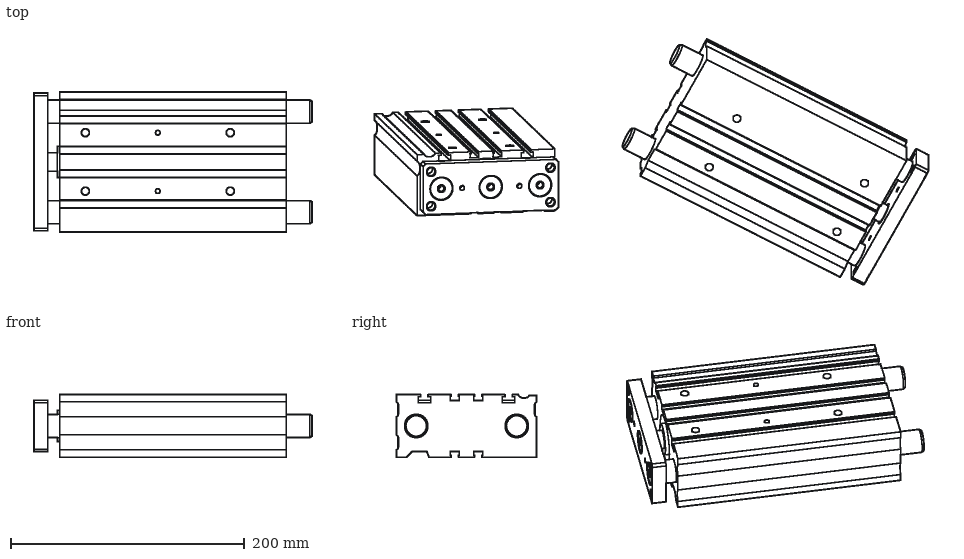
import cadquery as cq
import math


total_length = 238.0
plate_thickness = 12.0
plate_gap = 10.0
housing_start = plate_thickness + plate_gap
housing_length = 194.0
housing_end = housing_start + housing_length

housing_width = 120.0
housing_height = 54.0
half_width = housing_width / 2
half_height = housing_height / 2

plate_width = 118.0
plate_height = 44.0
plate_corner_chamfer = 2.2
corner_hole_y = 52.0
corner_hole_z = 15.0
corner_hole_diameter = 6.8
corner_hole_sink_diameter = 8.0
plate_pin_y = 25.0
plate_pin_diameter = 4.0

guide_y = 43.0
guide_diameter = 20.0
guide_end_chamfer_length = 2.0
guide_end_chamfer_depth = 1.2
piston_diameter = 16.0
piston_end_wall = 12.0
piston_end = housing_end - piston_end_wall
rod_seat_diameter = 19.0
rod_seat_sink_diameter = 20.0
rod_recess = (rod_seat_sink_diameter - rod_seat_diameter) / 2
socket_diameter = 5.0
socket_sink_diameter = 6.6
socket_depth = 15.0
drill_tip_angle = 118.0

collar_diameter = 27.0
collar_protrusion = 2.0
collar_start = housing_start - collar_protrusion
recess_diameter = 42.0
recess_depth = 6.5
recess_floor = housing_start + recess_depth

mount_hole_diameter = 6.6
mount_hole_first = 22.0
mount_hole_pitch = 124.0
mount_hole_y = 25.0
dowel_diameter = 4.0
dowel_depth = 6.0

t_slot_y = 36.0
t_slot_opening = 6.0
t_slot_width = 10.4
t_slot_lip = 2.2
t_slot_depth = 7.3
t_slot_chamfer = 0.5

sensor_slot_y = 10.0
sensor_slot_opening = 5.9
sensor_slot_width = 7.4
sensor_slot_lip = 1.8
sensor_slot_depth = 5.3
sensor_slot_chamfer = 0.5

side_groove_z = 14.1
side_groove_half_opening = 6.4
side_groove_half_floor = 1.8
side_groove_chamfer = 1.3
side_groove_depth = 2.2
top_groove_inner_edge_y = 44.1
top_groove_outer_edge_y = 53.6
top_groove_floor_y = 49.1
top_groove_floor_width = 0.8
top_groove_chamfer_width = 0.9
top_groove_chamfer_depth = 1.4
top_groove_depth = 2.2
top_strip_drop = 0.8

channel_inner_y = 32.1
channel_outer_y = 51.4
channel_depth = 5.5
channel_inner_run = 2.2
channel_outer_run = 5.5


def cylinder_x(start, end, diameter, y=0.0):
    """Cylinder along X between two X positions, with its axis at Z = 0."""
    return cq.Workplane("YZ", origin=(start, y, 0)).circle(diameter / 2).extrude(end - start)


def sunk_hole(diameter, sink_diameter, depth, y, z=0.0, tip_depth=0.0):
    """Cutter for a countersunk hole from X = 0, with an optional conical tip."""
    radius = diameter / 2
    sink_radius = sink_diameter / 2
    sink_depth = sink_radius - radius
    return (
        cq.Workplane("XY")
        .moveTo(0, 0)
        .lineTo(0, sink_radius)
        .lineTo(sink_depth, radius)
        .lineTo(depth, radius)
        .lineTo(depth + tip_depth, 0)
        .close()
        .revolve(360, (0, 0, 0), (1, 0, 0))
        .translate((0, y, z))
    )


def undercut_slot(y, opening, width, lip, depth, chamfer):
    """Slot cutter in the top face: narrow chamfered mouth above a wider channel."""
    mouth = opening / 2
    wide = width / 2
    right_side = [
        (mouth + chamfer, half_height),
        (mouth, half_height - chamfer),
        (mouth, half_height - lip),
        (wide, half_height - lip),
        (wide, half_height - depth),
    ]
    left_side = [(-across, z) for across, z in reversed(right_side)]
    outline = right_side + left_side
    slot = cq.Workplane("YZ", origin=(housing_start, y, 0)).polyline(outline).close()
    return slot.extrude(housing_length)


def tangent_arc_middle(run, rise):
    """Middle point of an arc that starts level at (0, 0) and ends at (run, rise)."""
    radius = (run**2 + rise**2) / (2 * rise)
    half_angle = math.asin(run / radius) / 2
    return radius * math.sin(half_angle), radius * (1 - math.cos(half_angle))


def make_side_groove():
    """Cutter for a groove in a face at Z = 0, centred on Y = 0: chamfers, arcs and a flat floor."""
    shoulder = side_groove_half_opening - side_groove_chamfer
    floor = side_groove_half_floor
    depth = side_groove_depth
    arc_run, arc_rise = tangent_arc_middle(shoulder - floor, depth - side_groove_chamfer)
    return (
        cq.Workplane("YZ", origin=(housing_start, 0, 0))
        .moveTo(-side_groove_half_opening, 0)
        .lineTo(-shoulder, -side_groove_chamfer)
        .threePointArc((-floor - arc_run, arc_rise - depth), (-floor, -depth))
        .lineTo(floor, -depth)
        .threePointArc((floor + arc_run, arc_rise - depth), (shoulder, -side_groove_chamfer))
        .lineTo(side_groove_half_opening, 0)
        .close()
        .extrude(housing_length)
    )


def make_top_groove():
    """Cutter for the top groove and the lowered strip that runs from it to the +Y edge."""
    strip_z = half_height - top_strip_drop
    floor_z = strip_z - top_groove_depth
    inner_floor_y = top_groove_floor_y - top_groove_floor_width / 2
    outer_floor_y = top_groove_floor_y + top_groove_floor_width / 2
    shoulder_y = top_groove_outer_edge_y - top_groove_chamfer_width
    shoulder_z = strip_z - top_groove_chamfer_depth
    inner_width = inner_floor_y - top_groove_inner_edge_y
    inner_run, inner_rise = tangent_arc_middle(inner_width, half_height - floor_z)
    outer_run, outer_rise = tangent_arc_middle(shoulder_y - outer_floor_y, shoulder_z - floor_z)
    return (
        cq.Workplane("YZ", origin=(housing_start, 0, 0))
        .moveTo(top_groove_inner_edge_y, half_height)
        .threePointArc((inner_floor_y - inner_run, floor_z + inner_rise), (inner_floor_y, floor_z))
        .lineTo(outer_floor_y, floor_z)
        .threePointArc((outer_floor_y + outer_run, floor_z + outer_rise), (shoulder_y, shoulder_z))
        .lineTo(top_groove_outer_edge_y, strip_z)
        .lineTo(half_width, strip_z)
        .lineTo(half_width, half_height)
        .close()
        .extrude(housing_length)
    )


def make_housing():
    body = cq.Workplane("XY").box(housing_length, housing_width, housing_height)
    body = body.translate((housing_start + housing_length / 2, 0, 0))

    for side in (-1, 1):
        body = body.cut(
            undercut_slot(
                side * t_slot_y, t_slot_opening, t_slot_width, t_slot_lip, t_slot_depth, t_slot_chamfer
            )
        )
        sensor_slot = undercut_slot(
            side * sensor_slot_y,
            sensor_slot_opening,
            sensor_slot_width,
            sensor_slot_lip,
            sensor_slot_depth,
            sensor_slot_chamfer,
        )
        body = body.cut(sensor_slot).cut(sensor_slot.mirror("XY"))

    body = body.cut(make_top_groove())

    side_groove = make_side_groove()
    for side, z in ((-1, side_groove_z), (-1, -side_groove_z), (1, side_groove_z)):
        turned = side_groove.rotate((0, 0, 0), (1, 0, 0), -90 * side)
        body = body.cut(turned.translate((0, side * half_width, z)))

    channel_floor = channel_depth - half_height
    channel = (
        cq.Workplane("YZ", origin=(housing_start, 0, 0))
        .moveTo(-channel_inner_y, -half_height)
        .lineTo(-channel_inner_y - channel_inner_run, channel_floor)
        .lineTo(-channel_outer_y + channel_outer_run, channel_floor)
        .lineTo(-channel_outer_y, -half_height)
        .close()
        .extrude(housing_length)
    )
    body = body.cut(channel)

    first_x = housing_start + mount_hole_first
    mount_points = [
        (x, y) for x in (first_x, first_x + mount_hole_pitch) for y in (-mount_hole_y, mount_hole_y)
    ]
    dowel_x = first_x + mount_hole_pitch / 2
    dowel_points = [(dowel_x, -mount_hole_y), (dowel_x, mount_hole_y)]
    top_plane = cq.Workplane("XY", origin=(0, 0, half_height))
    mount_holes = top_plane.pushPoints(mount_points).circle(mount_hole_diameter / 2).extrude(-housing_height)
    dowel_holes = top_plane.pushPoints(dowel_points).circle(dowel_diameter / 2).extrude(-dowel_depth)
    body = body.cut(mount_holes).cut(dowel_holes)

    body = body.cut(cylinder_x(housing_start, recess_floor, recess_diameter))
    for side in (-1, 1):
        body = body.cut(cylinder_x(housing_start, housing_end, guide_diameter, side * guide_y))
    return body.cut(cylinder_x(housing_start, piston_end, piston_diameter))


def make_plate():
    plate = cq.Workplane("YZ").rect(plate_width, plate_height).extrude(plate_thickness)
    plate = plate.edges("|X").chamfer(plate_corner_chamfer)
    for y in (-corner_hole_y, corner_hole_y):
        for z in (-corner_hole_z, corner_hole_z):
            plate = plate.cut(
                sunk_hole(corner_hole_diameter, corner_hole_sink_diameter, plate_thickness, y, z)
            )
    for y in (-plate_pin_y, plate_pin_y):
        plate = plate.cut(cylinder_x(0, plate_thickness, plate_pin_diameter, y))
    for y in (-guide_y, 0, guide_y):
        plate = plate.cut(sunk_hole(rod_seat_diameter, rod_seat_sink_diameter, plate_thickness, y))
    return plate


def rod_head(y):
    """Rod end that fills its seat in the plate, up to the foot of the seat's countersink."""
    return cylinder_x(rod_recess, plate_thickness, rod_seat_diameter, y)


def cut_socket(rod, y):
    """Cut the countersunk blind hole in the plate end of a rod."""
    tip_depth = socket_diameter / 2 / math.tan(math.radians(drill_tip_angle / 2))
    socket = sunk_hole(socket_diameter, socket_sink_diameter, socket_depth, y, 0, tip_depth)
    return rod.cut(socket.translate((rod_recess, 0, 0)))


def make_guide_rod(y):
    shank = cylinder_x(plate_thickness, total_length, guide_diameter, y)
    shank = shank.faces(">X").chamfer(guide_end_chamfer_length, guide_end_chamfer_depth)
    return cut_socket(rod_head(y).union(shank), y)


def make_piston_rod():
    shank = cylinder_x(plate_thickness, piston_end, piston_diameter)
    return cut_socket(rod_head(0).union(shank), 0)


def make_collar():
    collar = cylinder_x(collar_start, recess_floor, collar_diameter)
    return collar.cut(cylinder_x(collar_start, recess_floor, piston_diameter))


housing = make_housing()
plate = make_plate()
guide_rods = [make_guide_rod(y) for y in (-guide_y, guide_y)]
piston_rod = make_piston_rod()
collar = make_collar()

result = cq.Compound.makeCompound(
    [
        housing.val(),
        plate.val(),
        *[rod.val() for rod in guide_rods],
        piston_rod.val(),
        collar.val(),
    ]
)